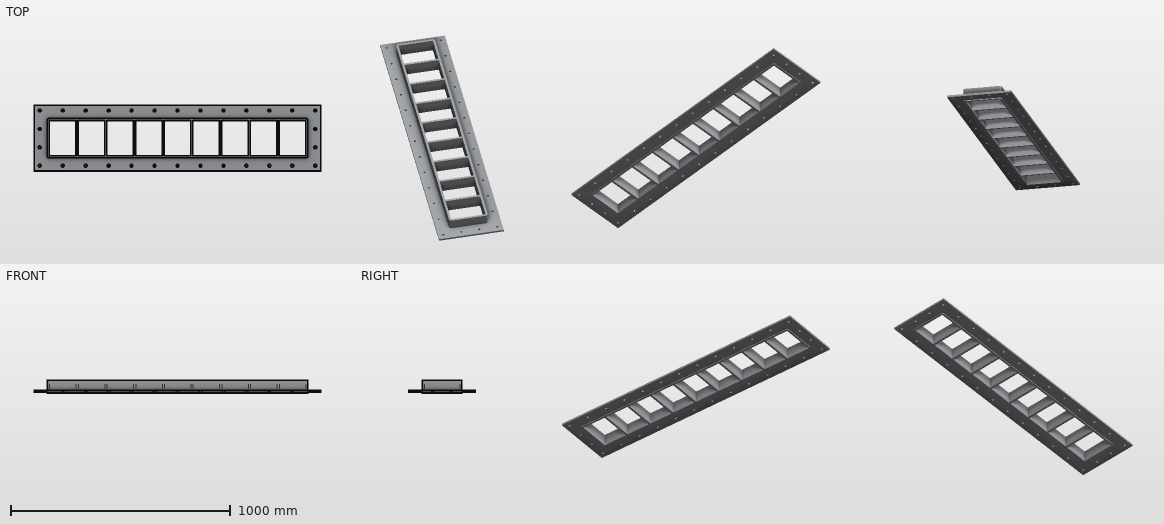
import cadquery as cq

plate_length = 1305.0
plate_width = 300.0
plate_thickness = 9.0
frame_drop = 4.0

total_height = 60.0
flange_overhang = 60.0
frame_length = plate_length - 2 * flange_overhang
frame_width = plate_width - 2 * flange_overhang
wall = 10.0
corner_radius = wall

bar_count = 8
bar_thickness = wall
inner_length = frame_length - 2 * wall
inner_width = frame_width - 2 * wall
bar_pitch = (inner_length + bar_thickness) / (bar_count + 1)

hole_diameter = 10.0
end_hole_inset = 26.0
side_hole_inset = 25.0
hole_columns = 13
hole_rows = 4
column_pitch = (plate_length - 2 * end_hole_inset) / (hole_columns - 1)
row_pitch = (plate_width - 2 * side_hole_inset) / (hole_rows - 1)


def make_plate():
    """Flat flange, placed above the lower rim of the frame."""
    plate = cq.Workplane("XY").workplane(offset=frame_drop)
    return plate.rect(plate_length, plate_width).extrude(plate_thickness)


def make_frame_block():
    """Solid outer envelope of the frame with rounded vertical corners."""
    block = cq.Workplane("XY").rect(frame_length, frame_width).extrude(total_height)
    return block.edges("|Z").fillet(corner_radius)


def make_windows():
    """Cutter for the frame interior, with the cross bars left out."""
    interior = cq.Workplane("XY").rect(inner_length, inner_width).extrude(total_height)
    bars = cq.Workplane("XY").rarray(bar_pitch, 13, bar_count, 1)
    bars = bars.rect(bar_thickness, inner_width).extrude(total_height)
    return interior.cut(bars)


def bolt_hole_points():
    """Grid positions that lie on the border of the hole pattern."""
    points = []
    for column in range(hole_columns):
        for row in range(hole_rows):
            if column in (0, hole_columns - 1) or row in (0, hole_rows - 1):
                x = -plate_length / 2 + end_hole_inset + column * column_pitch
                y = -plate_width / 2 + side_hole_inset + row * row_pitch
                points.append((x, y))
    return points


def make_bolt_holes():
    """Cutters for the bolt holes through the flange."""
    holes = cq.Workplane("XY").pushPoints(bolt_hole_points())
    return holes.circle(hole_diameter / 2).extrude(total_height)


result = make_plate().union(make_frame_block()).cut(make_windows()).cut(make_bolt_holes())